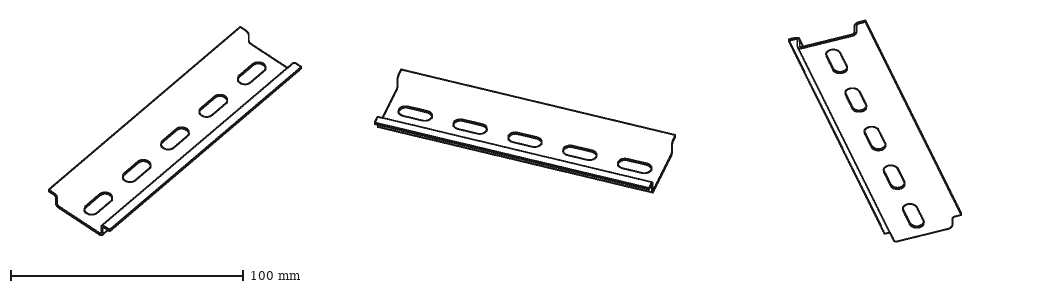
import cadquery as cq

length = 125.0
width = 35.0
height = 7.5
thickness = 1.0
channel_width = 27.0
inner_radius = 1.0
outer_radius = inner_radius + thickness

slot_count = 5
slot_pitch = 25.0
slot_length = 15.0
slot_width = 6.2


def box(x_size, z_size, z_bottom):
    """Full-length bar, centred on X and Y."""
    return cq.Workplane("XY").box(x_size, length, z_size, centered=(True, True, False)).translate(
        (0, 0, z_bottom)
    )


def make_rail():
    bottom = -height / 2
    top = height / 2
    opening_width = channel_width - 2 * thickness

    body = box(channel_width, height - thickness, bottom)
    body = body.edges("|Y and <Z").fillet(outer_radius)
    flanges = box(width, thickness, top - thickness)
    outer = body.union(flanges)
    under_flange_corners = cq.selectors.BoxSelector(
        (-channel_width / 2 - inner_radius / 2, -length, top - thickness - inner_radius / 2),
        (channel_width / 2 + inner_radius / 2, length, top - thickness + inner_radius / 2),
    )
    outer = outer.edges("|Y").edges(under_flange_corners).fillet(inner_radius)

    cavity = box(opening_width, height - thickness, bottom + thickness)
    cavity = cavity.edges("|Y and <Z").fillet(inner_radius)
    rail = outer.cut(cavity)
    mouth_corners = cq.selectors.BoxSelector(
        (-channel_width / 2, -length, top - thickness / 2),
        (channel_width / 2, length, top + thickness / 2),
    )
    return rail.edges("|Y").edges(mouth_corners).fillet(outer_radius)


def make_slots():
    return (
        cq.Workplane("XY")
        .rarray(1.2, slot_pitch, 1, slot_count)
        .slot2D(slot_length, slot_width, 90)
        .extrude(height, both=True)
    )


result = make_rail().cut(make_slots())